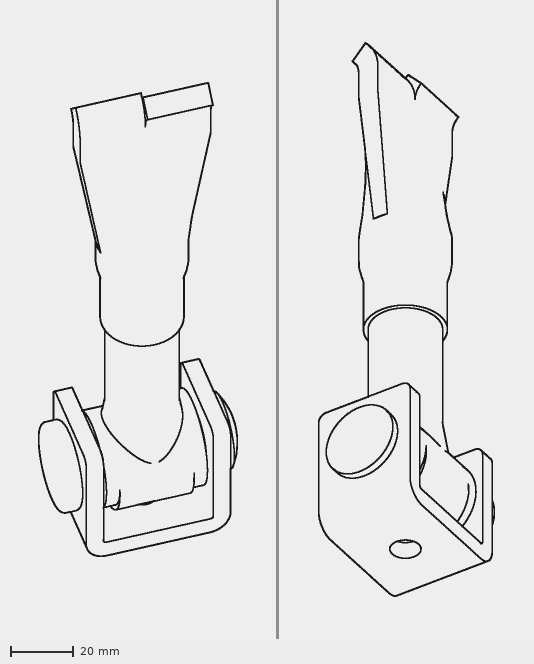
import cadquery as cq
import math


bracket_width = 35.0
bracket_depth = 48.6
bracket_wall = 5.8
bracket_floor = 6.2
bracket_bottom = -27.0
bracket_top = 18.1
bracket_bend_radius = 7.0
bracket_inner_radius = 1.0
bracket_corner_radius = 3.0
floor_hole_diameter = 10.0

pin_diameter = 20.0
pin_head_diameter = 25.5
pin_head_rim = 2.8
pin_dome_height = 3.99

cap_diameter = 30.0
cap_thickness = 6.2
cap_edge_radius = 1.5

barrel_radius = 16.0
barrel_length = 34.0
pad_length = 25.0
pad_depth = 18.2
rod_radius = 12.0
neck_top = 22.1
neck_base_radius = 15.5

tip_bottom = 60.0
sleeve_radius = 13.5
sleeve_top = 78.5
collar_radius = 15.0
collar_bottom = 86.5
collar_top = 96.0
blade_bottom = 140.4
overall_height = 187.77
tip_top = bracket_bottom + overall_height
blade_width = 44.0
blade_thickness = 7.35
flat_width_at_collar = 5.3
hook_inner_radius = 7.5
hook_angle = math.radians(47)


def y_cylinder(radius, y_start, y_end):
    """Cylinder around the pin axis between two Y positions."""
    length = y_end - y_start
    start = cq.Vector(0, y_start, 0)
    return cq.Workplane(cq.Solid.makeCylinder(radius, length, start, cq.Vector(0, 1, 0)))


def make_bracket():
    height = bracket_top - bracket_bottom
    outer = (
        cq.Workplane("XY", origin=(0, 0, bracket_bottom))
        .box(bracket_width, bracket_depth, height, centered=(True, True, False))
        .edges("|X and <Z")
        .fillet(bracket_bend_radius)
        .edges("|Y and >Z")
        .fillet(bracket_corner_radius)
    )
    opening = (
        cq.Workplane("XY", origin=(0, 0, bracket_bottom + bracket_floor))
        .box(bracket_width, bracket_depth - 2 * bracket_wall, height, centered=(True, True, False))
        .edges("|X and <Z")
        .fillet(bracket_inner_radius)
    )
    pin_hole = y_cylinder(pin_diameter / 2, -bracket_depth / 2, bracket_depth / 2)
    floor_hole = (
        cq.Workplane("XY", origin=(0, 0, bracket_bottom))
        .circle(floor_hole_diameter / 2)
        .extrude(bracket_floor)
    )
    return outer.cut(opening).cut(pin_hole).cut(floor_hole)


def make_pin():
    face = bracket_depth / 2
    head_radius = pin_head_diameter / 2
    rim_end = face + pin_head_rim
    dome_end = rim_end + pin_dome_height
    dome_radius = (head_radius**2 + pin_dome_height**2) / (2 * pin_dome_height)
    dome_mid_angle = math.asin(head_radius / dome_radius) / 2
    dome_mid = (
        dome_radius * math.sin(dome_mid_angle),
        dome_end - dome_radius * (1 - math.cos(dome_mid_angle)),
    )
    return (
        cq.Workplane("XY")
        .moveTo(0, -face)
        .lineTo(pin_diameter / 2, -face)
        .lineTo(pin_diameter / 2, face)
        .lineTo(head_radius, face)
        .lineTo(head_radius, rim_end)
        .threePointArc(dome_mid, (0, dome_end))
        .close()
        .revolve(360, (0, 0, 0), (0, 1, 0))
    )


def make_cap():
    seat = -bracket_depth / 2
    disc = y_cylinder(cap_diameter / 2, seat - cap_thickness, seat)
    return disc.faces("<Y or >Y").edges().fillet(cap_edge_radius)


def make_rod():
    barrel = y_cylinder(barrel_radius, -barrel_length / 2, barrel_length / 2)
    pad = (
        cq.Workplane("XZ", origin=(0, pad_length / 2, 0))
        .moveTo(-barrel_radius, 0)
        .threePointArc((0, -pad_depth), (barrel_radius, 0))
        .close()
        .extrude(pad_length)
    )
    shank = (
        cq.Workplane("XZ")
        .moveTo(0, 0)
        .lineTo(neck_base_radius, 0)
        .lineTo(rod_radius, neck_top)
        .lineTo(rod_radius, tip_bottom)
        .lineTo(0, tip_bottom)
        .close()
        .revolve(360, (0, 0, 0), (0, 1, 0))
    )
    pin_hole = y_cylinder(pin_diameter / 2, -barrel_length / 2, barrel_length / 2)
    return barrel.union(pad).union(shank).cut(pin_hole)


def make_sleeve():
    """Sleeve that swells to the collar through an S-curve of two equal arcs."""
    rise = (collar_bottom - sleeve_top) / 2
    middle = ((sleeve_radius + collar_radius) / 2, sleeve_top + rise)
    return (
        cq.Workplane("XZ")
        .moveTo(0, tip_bottom)
        .lineTo(sleeve_radius, tip_bottom)
        .lineTo(sleeve_radius, sleeve_top)
        .tangentArcPoint(middle, relative=False)
        .tangentArcPoint((collar_radius, collar_bottom), relative=False)
        .lineTo(collar_radius, collar_top)
        .lineTo(0, collar_top)
        .close()
        .revolve(360, (0, 0, 0), (0, 1, 0))
    )


def make_taper():
    """Transition from the round collar to the flat blade."""
    half_flat = flat_width_at_collar / 2
    flat_y = math.sqrt(collar_radius**2 - half_flat**2)
    collar_outline = (
        cq.Workplane("XY", origin=(0, 0, collar_top))
        .moveTo(half_flat, -flat_y)
        .threePointArc((collar_radius, 0), (half_flat, flat_y))
        .lineTo(-half_flat, flat_y)
        .threePointArc((-collar_radius, 0), (-half_flat, -flat_y))
        .close()
        .wire()
        .val()
    )
    x = blade_thickness / 2
    y = blade_width / 2
    blade_outline = (
        cq.Workplane("XY", origin=(0, 0, blade_bottom))
        .polyline([(x, -y), (x, y), (-x, y), (-x, -y)])
        .close()
        .wire()
        .val()
    )
    return cq.Workplane(cq.Solid.makeLoft([collar_outline, blade_outline], True))


def make_hook(side):
    """Half of the blade, bent over toward -X (side = -1) or +X (side = 1)."""
    half = blade_thickness / 2
    outer_radius = hook_inner_radius + blade_thickness
    bend_start = tip_top - outer_radius * math.sin(hook_angle)
    bend_x = half + hook_inner_radius

    def bend_point(radius, angle):
        return (side * (bend_x - radius * math.cos(angle)), bend_start + radius * math.sin(angle))

    y_back = 0 if side < 0 else blade_width / 2
    return (
        cq.Workplane("XZ", origin=(0, y_back, 0))
        .moveTo(side * half, blade_bottom)
        .lineTo(side * half, bend_start)
        .threePointArc(
            bend_point(hook_inner_radius, hook_angle / 2),
            bend_point(hook_inner_radius, hook_angle),
        )
        .lineTo(*bend_point(outer_radius, hook_angle))
        .threePointArc(bend_point(outer_radius, hook_angle / 2), bend_point(outer_radius, 0))
        .lineTo(-side * half, blade_bottom)
        .close()
        .extrude(blade_width / 2)
    )


def make_tip():
    tip = make_sleeve().union(make_taper())
    for side in (-1, 1):
        tip = tip.union(make_hook(side))
    return tip


bracket = make_bracket()
pin = make_pin()
cap = make_cap()
rod = make_rod()
tip = make_tip()

result = cq.Compound.makeCompound(
    [
        *bracket.solids().vals(),
        *pin.solids().vals(),
        *cap.solids().vals(),
        *rod.solids().vals(),
        *tip.solids().vals(),
    ]
)